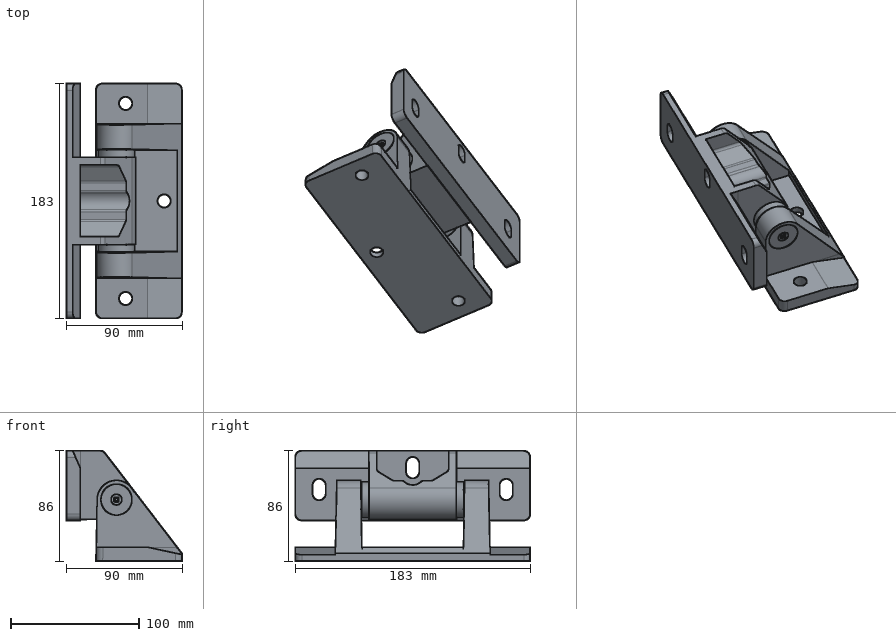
import cadquery as cq
import math

TOTAL_DEPTH = 90.0
TOTAL_HEIGHT = 86.0
PLATE_LENGTH = 183.0
PLATE_THICKNESS = 11.0
CORNER_RADIUS = 5.1
HOLE_DIAMETER = 10.0
DRAFT = math.radians(1.2)
ARM_SIDE_DRAFT = math.radians(0.5)

AXIS_X = 39.0
AXIS_Z = 48.0
KNUCKLE_RADIUS = 15.0
SLOPE = math.radians(52.5)

TOE_HEIGHT = 5.1
TOE_BEVEL_X = 63.0
EAR_OUTER_HALF = 60.2
EAR_INNER_HALF = 39.3
SLOT_FLOOR_Z = 5.5
END_HOLE_X = 46.1
END_HOLE_Y = 76.0
MIDDLE_HOLE_X = 76.1

WALL_BOTTOM_Z = 31.7
BEVEL_TOP_X = 5.0
BEVEL_BOTTOM_Z = 72.3
SLOT_LENGTH = 16.5
END_SLOT_Y = 72.8
END_SLOT_Z = 55.8
MIDDLE_SLOT_Z = 72.8
ARM_HALF = 34.2
ARM_CORNER_RADIUS = 4.4

CHANNEL_HALF = 28.0
CHANNEL_SIDE_Z = 70.5
CHANNEL_FLOOR_HALF = 15.0
CHANNEL_FLOOR_Z = 62.5
TROUGH_HALF = 7.1
TROUGH_BOTTOM_Z = 59.3
CHANNEL_EDGE_RADIUS = 3.0

PIN_RADIUS = 7.5
WASHER_RADIUS = 14.0
WASHER_OUTER_Y = 39.7
CAP_RADIUS = 12.0
CAP_OUTER_Y = 59.3
CAP_THICKNESS = 5.0
SCREW_HEAD_RADIUS = 4.2
SCREW_SHANK_RADIUS = 2.0
SCREW_LENGTH = 14.6
CROSS_LENGTH = 4.4
CROSS_WIDTH = 1.3
CROSS_DEPTH = 1.5

SIDES = (-1, 1)
PIN_HALF = CAP_OUTER_Y - CAP_THICKNESS

TANGENT_X = AXIS_X + KNUCKLE_RADIUS * math.sin(SLOPE)
TANGENT_Z = AXIS_Z + KNUCKLE_RADIUS * math.cos(SLOPE)

BASE_BACK_X = AXIS_X - KNUCKLE_RADIUS / math.cos(DRAFT) - AXIS_Z * math.tan(DRAFT)
WASHER_INNER_Y = ARM_HALF - (AXIS_X - WASHER_RADIUS - PLATE_THICKNESS) * math.tan(ARM_SIDE_DRAFT)


def slope_x(z):
    """X of the sloping front at height z."""
    return TANGENT_X + (TANGENT_Z - z) / math.tan(SLOPE)


def extrude_y(outline, half):
    """Solid from a closed XZ outline, symmetric about Y = 0."""
    return outline.extrude(half, both=True)


def cylinder_y(radius, y_start, y_end):
    """Cylinder on the hinge axis between two Y positions."""
    circle = cq.Workplane("XZ", origin=(AXIS_X, y_start, AXIS_Z)).circle(radius)
    return circle.extrude(y_start - y_end)


def drafted_block(half_bottom, half_top, z_bottom, z_top, x_start, x_end):
    """Block along X whose YZ section is a symmetric trapezium."""
    section = cq.Workplane("YZ", origin=(x_start, 0, 0)).polyline([
        (-half_bottom, z_bottom),
        (half_bottom, z_bottom),
        (half_top, z_top),
        (-half_top, z_top),
    ]).close()
    return section.extrude(x_end - x_start)


def base_plate():
    outline = cq.Workplane("XZ").polyline([
        (BASE_BACK_X, 0),
        (TOTAL_DEPTH, 0),
        (TOTAL_DEPTH, TOE_HEIGHT),
        (TOE_BEVEL_X, PLATE_THICKNESS),
        (BASE_BACK_X + PLATE_THICKNESS * math.tan(DRAFT), PLATE_THICKNESS),
    ]).close()
    plate = extrude_y(outline, PLATE_LENGTH / 2)
    plate = plate.edges("|Z").fillet(CORNER_RADIUS)
    plate = plate.faces("<X").edges("#Y").fillet(CORNER_RADIUS)
    return plate


def ear_block():
    """Both ears as one block, before the slot between them is cut."""
    tangent_back = (AXIS_X - KNUCKLE_RADIUS * math.cos(DRAFT), AXIS_Z + KNUCKLE_RADIUS * math.sin(DRAFT))
    outline = (
        cq.Workplane("XZ")
        .moveTo(BASE_BACK_X, 0)
        .lineTo(TOTAL_DEPTH, 0)
        .lineTo(TOTAL_DEPTH, TOE_HEIGHT)
        .lineTo(slope_x(TOE_HEIGHT), TOE_HEIGHT)
        .lineTo(TANGENT_X, TANGENT_Z)
        .threePointArc((AXIS_X, AXIS_Z + KNUCKLE_RADIUS), tangent_back)
        .close()
    )
    outer_half_top = EAR_OUTER_HALF - (TOTAL_HEIGHT - PLATE_THICKNESS) * math.tan(DRAFT)
    sides = drafted_block(EAR_OUTER_HALF, EAR_OUTER_HALF, 0, PLATE_THICKNESS, 0, TOTAL_DEPTH).union(
        drafted_block(EAR_OUTER_HALF, outer_half_top, PLATE_THICKNESS, TOTAL_HEIGHT, 0, TOTAL_DEPTH)
    )
    return extrude_y(outline, EAR_OUTER_HALF).intersect(sides)


def make_base():
    slot_half_top = EAR_INNER_HALF + (TOTAL_HEIGHT - SLOT_FLOOR_Z) * math.tan(DRAFT)
    slot = drafted_block(
        EAR_INNER_HALF, slot_half_top, SLOT_FLOOR_Z, TOTAL_HEIGHT, 0, slope_x(PLATE_THICKNESS)
    )
    base = base_plate().union(ear_block()).cut(slot)
    hole_centres = [(END_HOLE_X, side * END_HOLE_Y) for side in SIDES] + [(MIDDLE_HOLE_X, 0)]
    holes = cq.Workplane("XY").pushPoints(hole_centres).circle(HOLE_DIAMETER / 2).extrude(PLATE_THICKNESS)
    base = base.cut(holes).cut(cylinder_y(PIN_RADIUS, -PIN_HALF, PIN_HALF))
    for side in SIDES:
        base = base.cut(cylinder_y(CAP_RADIUS, side * PIN_HALF, side * EAR_OUTER_HALF))
    return base


def wall_plate():
    height = TOTAL_HEIGHT - WALL_BOTTOM_Z
    plate = cq.Workplane("XY").box(
        PLATE_THICKNESS, PLATE_LENGTH, height, centered=(False, True, False)
    ).translate((0, 0, WALL_BOTTOM_Z))
    plate = plate.edges("|X").fillet(CORNER_RADIUS)
    bevel = cq.Workplane("XZ").polyline([
        (BEVEL_TOP_X, TOTAL_HEIGHT),
        (PLATE_THICKNESS, TOTAL_HEIGHT),
        (PLATE_THICKNESS, BEVEL_BOTTOM_Z),
    ]).close()
    return plate.cut(extrude_y(bevel, PLATE_LENGTH / 2))


def arm_plan():
    """Upright prism with the plan of the arm: parallel through the plate, then tapering."""
    tip_half = ARM_HALF - (TOTAL_DEPTH - PLATE_THICKNESS) * math.tan(ARM_SIDE_DRAFT)
    plan = cq.Workplane("XY").polyline([
        (0, -ARM_HALF),
        (PLATE_THICKNESS, -ARM_HALF),
        (TOTAL_DEPTH, -tip_half),
        (TOTAL_DEPTH, tip_half),
        (PLATE_THICKNESS, ARM_HALF),
        (0, ARM_HALF),
    ]).close()
    return plan.extrude(TOTAL_HEIGHT)


def arm():
    corner_x = slope_x(TOTAL_HEIGHT)
    tangent_under = (AXIS_X - KNUCKLE_RADIUS * math.sin(DRAFT), AXIS_Z - KNUCKLE_RADIUS * math.cos(DRAFT))
    under_z = tangent_under[1] - tangent_under[0] * math.tan(DRAFT)
    outline = (
        cq.Workplane("XZ")
        .moveTo(0, under_z)
        .lineTo(0, TOTAL_HEIGHT)
        .lineTo(corner_x, TOTAL_HEIGHT)
        .lineTo(TANGENT_X, TANGENT_Z)
        .threePointArc((AXIS_X + KNUCKLE_RADIUS, AXIS_Z), tangent_under)
        .close()
    )
    block = extrude_y(outline, ARM_HALF)
    corner = cq.selectors.NearestToPointSelector((corner_x, 0, TOTAL_HEIGHT))
    return block.edges(corner).fillet(ARM_CORNER_RADIUS).intersect(arm_plan())


def arm_channel():
    """Channel along X through the arm, with a rounded trough along its floor."""
    section = (
        cq.Workplane("YZ", origin=(PLATE_THICKNESS, 0, 0))
        .moveTo(-CHANNEL_HALF, TOTAL_HEIGHT)
        .lineTo(-CHANNEL_HALF, CHANNEL_SIDE_Z)
        .lineTo(-CHANNEL_FLOOR_HALF, CHANNEL_FLOOR_Z)
        .lineTo(-TROUGH_HALF, CHANNEL_FLOOR_Z)
        .threePointArc((0, TROUGH_BOTTOM_Z), (TROUGH_HALF, CHANNEL_FLOOR_Z))
        .lineTo(CHANNEL_FLOOR_HALF, CHANNEL_FLOOR_Z)
        .lineTo(CHANNEL_HALF, CHANNEL_SIDE_Z)
        .lineTo(CHANNEL_HALF, TOTAL_HEIGHT)
        .close()
    )
    channel = section.extrude(TOTAL_DEPTH)
    floor_edges = cq.selectors.BoxSelector(
        (0, -CHANNEL_HALF - 1.8, CHANNEL_FLOOR_Z - 1.8),
        (2 * TOTAL_DEPTH, CHANNEL_HALF + 1.8, CHANNEL_SIDE_Z + 1.8),
    )
    return channel.edges("|X").edges(floor_edges).fillet(CHANNEL_EDGE_RADIUS)


def make_leaf():
    leaf = wall_plate().union(arm()).cut(arm_channel())
    slot_centres = [(side * END_SLOT_Y, END_SLOT_Z) for side in SIDES] + [(0, MIDDLE_SLOT_Z)]
    slots = (
        cq.Workplane("YZ")
        .pushPoints(slot_centres)
        .slot2D(SLOT_LENGTH, HOLE_DIAMETER, 90)
        .extrude(PLATE_THICKNESS)
    )
    return leaf.cut(slots).cut(cylinder_y(PIN_RADIUS, -ARM_HALF, ARM_HALF))


def screw_blank(side):
    """Countersunk screw without its recess, head flush with the cap."""
    cone_depth = SCREW_HEAD_RADIUS - SCREW_SHANK_RADIUS
    profile = cq.Workplane("XY").polyline([
        (0, CAP_OUTER_Y),
        (SCREW_HEAD_RADIUS, CAP_OUTER_Y),
        (SCREW_SHANK_RADIUS, CAP_OUTER_Y - cone_depth),
        (SCREW_SHANK_RADIUS, CAP_OUTER_Y - SCREW_LENGTH),
        (0, CAP_OUTER_Y - SCREW_LENGTH),
    ]).close()
    blank = profile.revolve(360, (0, 0), (0, 1)).translate((AXIS_X, 0, AXIS_Z))
    return blank if side > 0 else blank.mirror("XZ")


def make_screw(side):
    cross = cq.Workplane("XY")
    for angle in (45, -45):
        bar = cq.Workplane("XY").box(CROSS_LENGTH, 2 * CROSS_DEPTH, CROSS_WIDTH)
        cross = cross.add(bar.rotate((0, 0, 0), (0, 1, 0), angle))
    cross = cross.combine().translate((AXIS_X, side * CAP_OUTER_Y, AXIS_Z))
    return screw_blank(side).cut(cross)


def make_cap(side):
    return cylinder_y(CAP_RADIUS, side * PIN_HALF, side * CAP_OUTER_Y).cut(screw_blank(side))


def make_washer(side):
    disc = cylinder_y(WASHER_RADIUS, side * WASHER_INNER_Y, side * WASHER_OUTER_Y)
    return disc.cut(cylinder_y(PIN_RADIUS, side * WASHER_INNER_Y, side * WASHER_OUTER_Y))


def make_pin():
    pin = cylinder_y(PIN_RADIUS, -PIN_HALF, PIN_HALF)
    for side in SIDES:
        pin = pin.cut(screw_blank(side))
    return pin


base = make_base()
leaf = make_leaf()
pin = make_pin()
washers = [make_washer(side).val() for side in SIDES]
caps = [make_cap(side).val() for side in SIDES]
screws = [make_screw(side).val() for side in SIDES]

result = cq.Compound.makeCompound([base.val(), leaf.val(), pin.val(), *washers, *caps, *screws])